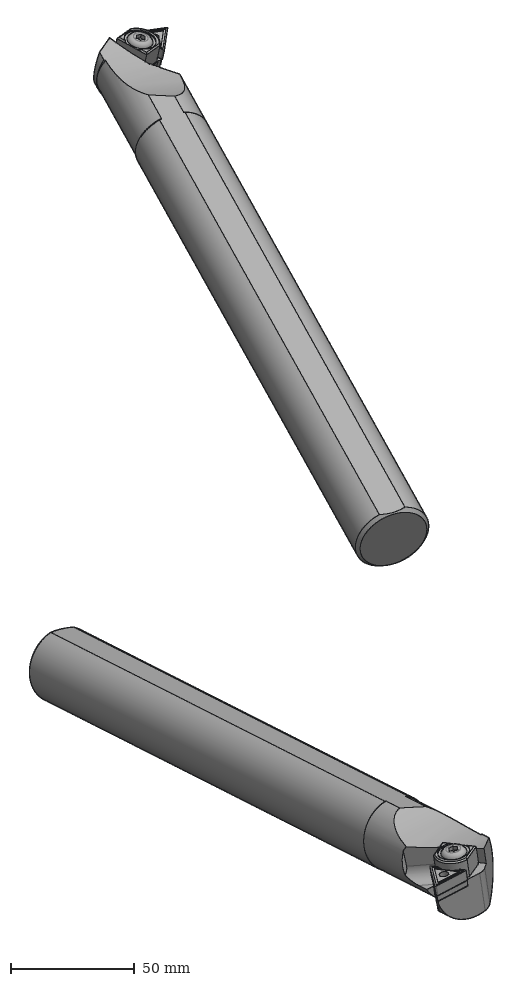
import cadquery as cq
import math

TOTAL_LENGTH = 300.0
SHANK_RADIUS = 16.0
FLAT_HEIGHT = 15.0
SHANK_START = 60.0
END_CHAMFER = 1.5

NECK_RADIUS = 15.75
NECK_OFFSET = SHANK_RADIUS - NECK_RADIUS

LOBE_RADIUS = 18.5
LOBE_Y = 2.9
LOBE_Z = -0.23
LOBE_LENGTH = 17.0
LOBE_TAPER = 4.0

NOSE_Y = 22.0
INSERT_SIDE = 16.5
INSERT_THICKNESS = 4.76
INSERT_HOLE = 3.81
NOSE_RADIUS = 0.4
GROOVE_INSET = 0.7
GROOVE_WIDTH = 0.9
GROOVE_DEPTH = 0.25
SHIM_THICKNESS = 2.8
SHIM_INSET = 0.3
RAKE = 6.0
INCLINATION = 12.8
SETTING_ANGLE = 3.0

FRONT_CLEARANCE = 0.6
BEVEL_SUM = -22.8
CORNER_RADIUS = 5.5
FLANK_END = 18.0

SCREW_X = 11.0
SCREW_Y = -17.4
SEAT_END = 10.0
WALL_OFFSET = 6.6
CLAMP_HALF_WIDTH = 7.4
CLAMP_NOSE_RADIUS = 8.3
CLAMP_WALL_GAP = 0.7
CLAMP_TOP = 4.0
CLAMP_CHAMFER = 0.6
SCREW_RADIUS = 5.4
SCREW_TOP = 5.2
SCREW_ROUND = 2.4
RECESS_RADIUS = 6.5
RECESS_DEPTH = 0.6
HEX_SIZE = 4.0
HEX_DEPTH = 3.0

POCKET_RISE = 2.5
POCKET_LOWEST_X = 14.5
POCKET_SWEEP_RADIUS = 80.0

GULLET_FLOOR = -10.6
GULLET_FILLET = 6.0
GULLET_OUTLINE = [(15.0, 12.5), (21.7, 4.1), (32.5, 14.7), (32.5, 30.0), (15.0, 30.0)]

REACH = 60.0

rake_slope = math.tan(math.radians(RAKE))
inclination_slope = math.tan(math.radians(INCLINATION))
bisector = math.radians(90.0 - SETTING_ANGLE - 30.0)
apex = (
    NOSE_RADIUS * (1 - 2 * math.cos(bisector)),
    NOSE_Y + NOSE_RADIUS * (2 * math.sin(bisector) - 1),
    0,
)
seat_plane = cq.Plane(
    origin=apex,
    xDir=(1, 0, rake_slope),
    normal=(-rake_slope, inclination_slope, 1),
)
pocket_plane = cq.Plane(
    origin=(0, NOSE_Y, 0),
    xDir=(1, 0, 0),
    normal=(0, inclination_slope, 1),
)
wall_angle = math.radians(30.0 + SETTING_ANGLE)
wall_point = seat_plane.toWorldCoords((math.cos(wall_angle), math.sin(wall_angle), 0))
clamp_plane = cq.Plane(
    origin=seat_plane.toWorldCoords((SCREW_X, SCREW_Y, 0)),
    xDir=wall_point - seat_plane.origin,
    normal=seat_plane.zDir,
)


def on(plane, height):
    """Workplane parallel to a frame, raised by height."""
    return cq.Workplane(plane).workplane(offset=height)


front_angle = math.radians(SETTING_ANGLE - 90.0)
flank_angle = front_angle + math.radians(60.0)


def corner(angle, distance):
    """Point at a distance from the nose."""
    return (distance * math.cos(angle), distance * math.sin(angle))


centre_distance = INSERT_SIDE / math.sqrt(3)
insert_centre = corner(front_angle + math.radians(30.0), centre_distance)


def triangle(plane, height, inset):
    """Insert triangle with every edge moved inward by inset."""
    side_scale = 1 - inset * 2 / centre_distance
    points = [
        tuple(c + (p - c) * side_scale for p, c in zip(point, insert_centre))
        for point in [(0, 0), corner(front_angle, INSERT_SIDE), corner(flank_angle, INSERT_SIDE)]
    ]
    return on(plane, height).polyline(points).close()


def shank():
    length = TOTAL_LENGTH - SHANK_START
    bar = cq.Workplane("YZ", origin=(SHANK_START, 0, 0)).circle(SHANK_RADIUS).extrude(length)
    bar = bar.faces(">X").chamfer(END_CHAMFER)
    between_flats = cq.Workplane("XY").box(
        TOTAL_LENGTH, 2 * SHANK_RADIUS, 2 * FLAT_HEIGHT, centered=(False, True, True)
    )
    return bar.intersect(between_flats)


def neck():
    bar = cq.Workplane("YZ", origin=(0, NECK_OFFSET, 0)).circle(NECK_RADIUS).extrude(SHANK_START)
    above_flat = cq.Workplane("XY", origin=(0, 0, FLAT_HEIGHT)).box(
        2 * SHANK_START, REACH, REACH, centered=(True, True, False)
    )
    return bar.cut(above_flat)


def lobe():
    """Cylinder around its own axis, run out by a cone around the neck axis."""
    cylinder = cq.Workplane("YZ", origin=(0, LOBE_Y, LOBE_Z)).circle(LOBE_RADIUS).extrude(LOBE_LENGTH)
    cone_radius = NECK_RADIUS + LOBE_TAPER
    run_out = (
        cq.Workplane("XY")
        .polyline([
            (0, 0),
            (0, REACH),
            (LOBE_LENGTH - LOBE_TAPER, REACH),
            (LOBE_LENGTH - LOBE_TAPER, cone_radius),
            (LOBE_LENGTH, NECK_RADIUS),
            (LOBE_LENGTH, 0),
        ])
        .close()
        .revolve(360, (0, 0, 0), (1, 0, 0))
        .translate((0, NECK_OFFSET, 0))
    )
    return cylinder.intersect(run_out)


def head_envelope():
    """Prism square to the seat: front relief, 45 degree bevel and outer flank."""
    setting_slope = math.tan(math.radians(SETTING_ANGLE))
    flank_slope = math.tan(flank_angle)
    flank_start_y = flank_slope * FRONT_CLEARANCE - FRONT_CLEARANCE
    front_x = FRONT_CLEARANCE - setting_slope * flank_start_y
    bevel_y = (BEVEL_SUM - FRONT_CLEARANCE) / (1 - setting_slope)
    bevel_x = BEVEL_SUM - bevel_y
    outline = [
        (front_x, flank_start_y),
        (bevel_x, bevel_y),
        (REACH, BEVEL_SUM - REACH),
        (2 * REACH, BEVEL_SUM - REACH),
        (2 * REACH, REACH),
        (FLANK_END, REACH),
        (FLANK_END, flank_slope * FLANK_END - FRONT_CLEARANCE),
    ]
    prism = on(seat_plane, -REACH).polyline(outline).close().extrude(2 * REACH)
    corner_point = seat_plane.toWorldCoords((bevel_x, bevel_y, 0)).toTuple()
    rounded_edge = cq.selectors.NearestToPointSelector(corner_point)
    return prism.edges(rounded_edge).fillet(CORNER_RADIUS)


def chip_pocket():
    """Cylindrical hollow whose axis leans with the seat inclination."""
    side_plane = cq.Plane(
        origin=pocket_plane.origin + pocket_plane.yDir * REACH,
        xDir=pocket_plane.xDir,
        normal=-pocket_plane.yDir,
    )
    return (
        cq.Workplane(side_plane)
        .center(POCKET_LOWEST_X, POCKET_RISE + POCKET_SWEEP_RADIUS)
        .circle(POCKET_SWEEP_RADIUS)
        .extrude(3 * REACH)
    )


def seat_pocket():
    """Open step in front of the seat wall, down to the underside of the insert."""
    return (
        on(clamp_plane, -INSERT_THICKNESS)
        .moveTo(-REACH, -WALL_OFFSET)
        .lineTo(SEAT_END, -WALL_OFFSET)
        .lineTo(SEAT_END, REACH)
        .lineTo(-REACH, REACH)
        .close()
        .extrude(REACH)
    )


def shim_recess():
    """Triangular step under the insert, wider than the shim so that its outline shows."""
    return triangle(seat_plane, -INSERT_THICKNESS - SHIM_THICKNESS, 0).extrude(SHIM_THICKNESS)


def gullet():
    outline = [(x, y - NOSE_Y) for x, y in GULLET_OUTLINE]
    block = on(pocket_plane, GULLET_FLOOR).polyline(outline).close().extrude(REACH)
    rear_point = pocket_plane.toWorldCoords((
        (outline[1][0] + outline[2][0]) / 2,
        (outline[1][1] + outline[2][1]) / 2,
        GULLET_FLOOR,
    ))
    return block.edges(cq.selectors.NearestToPointSelector(rear_point.toTuple())).fillet(GULLET_FILLET)


def shim():
    return triangle(seat_plane, -INSERT_THICKNESS - SHIM_THICKNESS, SHIM_INSET).extrude(SHIM_THICKNESS)


def clamp():
    """Block between seat wall and insert, with a round nose reaching over the insert."""
    shoulder = math.sqrt(CLAMP_NOSE_RADIUS**2 - CLAMP_HALF_WIDTH**2)
    rear = CLAMP_WALL_GAP - WALL_OFFSET
    block = (
        on(clamp_plane, -INSERT_THICKNESS)
        .moveTo(-CLAMP_HALF_WIDTH, rear)
        .lineTo(CLAMP_HALF_WIDTH, rear)
        .lineTo(CLAMP_HALF_WIDTH, shoulder)
        .threePointArc((0, CLAMP_NOSE_RADIUS), (-CLAMP_HALF_WIDTH, shoulder))
        .close()
        .extrude(INSERT_THICKNESS + CLAMP_TOP)
    )
    top_face = cq.selectors.DirectionMinMaxSelector(clamp_plane.zDir)
    room_for_insert = triangle(seat_plane, -INSERT_THICKNESS, 0).extrude(INSERT_THICKNESS)
    return block.faces(top_face).chamfer(CLAMP_CHAMFER).cut(room_for_insert)


def screw_recess():
    return on(clamp_plane, CLAMP_TOP - RECESS_DEPTH).circle(RECESS_RADIUS).extrude(RECESS_DEPTH)


def clamp_screw():
    top_face = cq.selectors.DirectionMinMaxSelector(clamp_plane.zDir)
    head = on(clamp_plane, 0).circle(SCREW_RADIUS).extrude(SCREW_TOP)
    head = head.faces(top_face).edges().fillet(SCREW_ROUND)
    socket = on(clamp_plane, SCREW_TOP - HEX_DEPTH).polygon(6, HEX_SIZE).extrude(HEX_DEPTH)
    return head.cut(socket)


def cutting_insert():
    plate = triangle(seat_plane, -INSERT_THICKNESS, 0).extrude(INSERT_THICKNESS)
    along_axis = cq.selectors.ParallelDirSelector(seat_plane.zDir)
    plate = plate.edges(along_axis).fillet(NOSE_RADIUS)
    hole = (
        on(seat_plane, -INSERT_THICKNESS)
        .center(*insert_centre)
        .circle(INSERT_HOLE / 2)
        .extrude(INSERT_THICKNESS)
    )
    groove = triangle(seat_plane, -GROOVE_DEPTH, GROOVE_INSET).extrude(GROOVE_DEPTH)
    land = triangle(seat_plane, -GROOVE_DEPTH, GROOVE_INSET + GROOVE_WIDTH).extrude(GROOVE_DEPTH)
    return plate.cut(hole).cut(groove.cut(land))


def tool_holder():
    head = neck().union(lobe()).intersect(head_envelope())
    head = head.cut(chip_pocket()).cut(seat_pocket()).cut(shim_recess()).cut(gullet())
    head = head.union(shim()).union(clamp()).cut(screw_recess()).union(clamp_screw())
    return head.union(shank())


insert = cutting_insert()
holder = tool_holder()

result = cq.Compound.makeCompound([holder.val(), insert.val()])